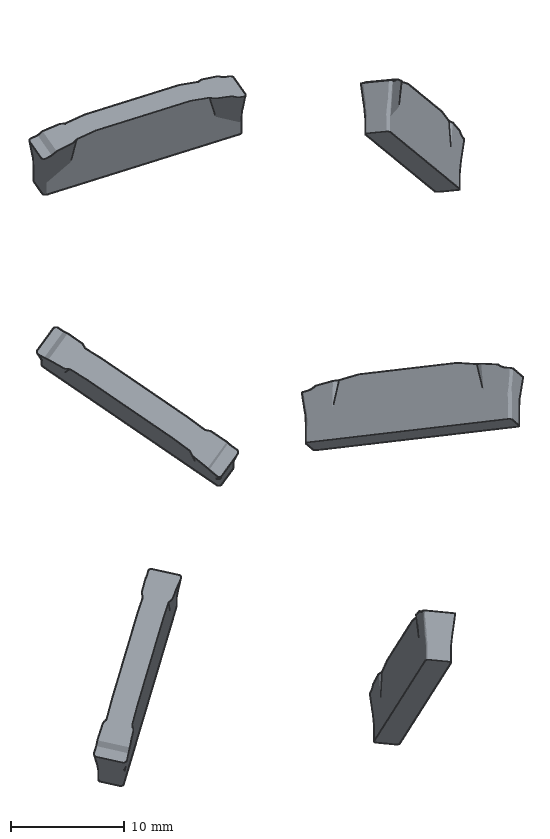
import cadquery as cq
import math

overall_width = 3.0
overall_length = 19.91
overall_height = 5.78
core_width = 2.34

half_length = overall_length / 2
cutting_edge_height = 4.585
land_length = 0.6
ramp_start_setback = 1.37
ramp_end_setback = 5.35
rake_angle = 10.0
crest_radius = 0.2
clearance_angle = 7.0
clearance_foot_height = 3.06
heel_height = 2.57
heel_radius = 4.4
end_face_setback = 0.255
corner_radius = 0.3

flank_height_slope = 0.098
flank_length_slope = 0.0643
head_root_setback = 2.9
head_root_height = 3.02
shoulder_lean = 0.06
shoulder_angle = 28.0
shoulder_radius = 0.25
shoulder_inner_half_width = 0.6

overreach = 1.0
selection_margin = 0.1


def slope(angle):
    """Rise per unit of run for an angle in degrees."""
    return math.tan(math.radians(angle))


land_end_height = cutting_edge_height + land_length * slope(rake_angle)
ramp_start_height = overall_height - (ramp_end_setback - ramp_start_setback) * slope(rake_angle)
clearance_setback = (cutting_edge_height - clearance_foot_height) * slope(clearance_angle)
end_face_y = half_length - end_face_setback


def half_profile(width):
    """The +Y half of the side profile, extruded to a width centred on X = 0."""
    land_end_y = half_length - land_length
    ramp_start_y = half_length - ramp_start_setback
    clearance_foot_y = half_length - clearance_setback
    block = (
        cq.Workplane("YZ")
        .moveTo(0, 0)
        .lineTo(end_face_y, 0)
        .lineTo(end_face_y, heel_height)
        .radiusArc((clearance_foot_y, clearance_foot_height), heel_radius)
        .lineTo(half_length, cutting_edge_height)
        .lineTo(land_end_y, land_end_height)
        .tangentArcPoint((ramp_start_y, ramp_start_height), relative=False)
        .lineTo(half_length - ramp_end_setback, overall_height)
        .lineTo(0, overall_height)
        .close()
        .extrude(width / 2, both=True)
    )
    crest = cq.selectors.NearestToPointSelector((0, ramp_start_y, ramp_start_height))
    return block.edges(crest).fillet(crest_radius)


def flank_half_width(setback, height):
    """Half width of the tapered head, widest where the corner round meets the flank."""
    corner_height = cutting_edge_height + corner_radius * slope(rake_angle)
    length_taper = flank_length_slope * (setback - corner_radius)
    height_taper = flank_height_slope * (corner_height - height)
    return overall_width / 2 - length_taper - height_taper


def head_section(height):
    """Corner points of the untrimmed head in a horizontal plane."""
    shoulder_setback = head_root_setback + shoulder_lean * (height - head_root_height)
    shoulder_half_width = flank_half_width(shoulder_setback, height)
    inner_run = (shoulder_half_width - shoulder_inner_half_width) / slope(shoulder_angle)
    side = [
        (flank_half_width(-overreach, height), half_length + overreach),
        (shoulder_half_width, half_length - shoulder_setback),
        (shoulder_inner_half_width, half_length - shoulder_setback - inner_run),
    ]
    return side + [(-x, y) for x, y in reversed(side)]


def head():
    """The flared head, trimmed to the side profile."""
    flare = (
        cq.Workplane("XY")
        .polyline(head_section(0))
        .close()
        .workplane(offset=overall_height)
        .polyline(head_section(overall_height))
        .close()
        .loft(ruled=True)
    )
    mid_height = overall_height / 2
    shoulder_x, shoulder_y = head_section(mid_height)[1]
    for x in (-shoulder_x, shoulder_x):
        shoulder = cq.selectors.NearestToPointSelector((x, shoulder_y, mid_height))
        flare = flare.edges(shoulder).fillet(shoulder_radius)
    return flare.intersect(half_profile(2 * overall_width))


def round_end_corners(block):
    """Round the upright corner edges of the +Y end face."""
    end_zone = cq.selectors.BoxSelector(
        (-overall_width, end_face_y - selection_margin, selection_margin),
        (overall_width, half_length + selection_margin, cutting_edge_height - selection_margin),
    )
    return block.edges(end_zone).edges("not |X").fillet(corner_radius)


def core():
    """The +Y half of the parallel-sided body."""
    return half_profile(core_width)


half = round_end_corners(core().union(head()))
result = half.union(half.mirror("XZ")).clean()